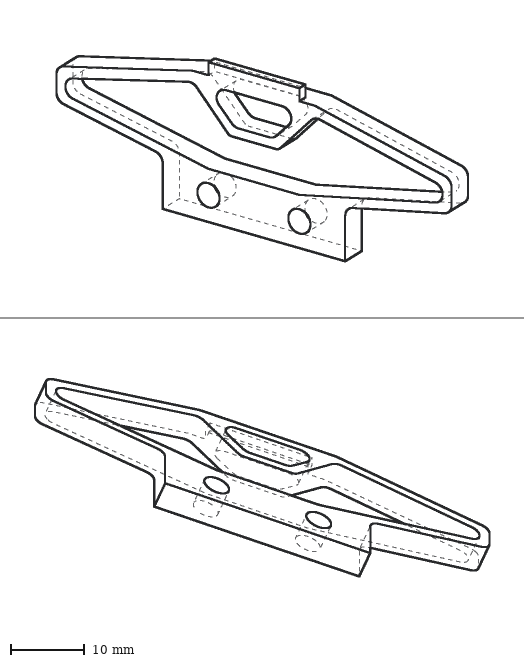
import cadquery as cq

length = 65.0
thickness = 4.0
total_height = 24.0
wall = 1.5
corner_radius = 1.5
half_length = length / 2

base_half_width = 15.0
arm_root_height = 8.05
end_bottom = 11.7
end_top = 16.85
crown_half_width = 10.0
crown_height = 22.05

tab_half_width = 7.5
tab_depth = 1.5

window_half_length = half_length - wall
window_floor_half_width = 7.5
window_floor = 8.0
window_end_bottom = 12.95
window_end_top = 15.4
brace_half_width = 4.0
brace_bottom = 13.85
brace_root_half_width = 10.0
brace_root_height = 20.35
brace_root_radius = 1.5
brace_corner_radius = 1.0

pocket_top_half_width = 8.1
pocket_bottom_half_width = 3.2
pocket_top = crown_height - wall
pocket_bottom = brace_bottom + wall
pocket_top_radius = 1.5
pocket_bottom_radius = 1.5

hole_diameter = 3.65
hole_offset = tab_half_width
hole_height = 4.0


def symmetric_prism(right_side, depth=thickness):
    """Mirror a right-hand outline about X = 0 and extrude it back from Y = 0."""
    left_side = [(-x, z) for x, z in reversed(right_side)]
    return cq.Workplane("XZ").polyline(right_side + left_side).close().extrude(-depth)


def round_corners(body, corner, radius):
    """Round the upright edges at a corner point and at its mirror image."""
    x, z = corner
    margin = 0.05
    for side_x in (x, -x):
        selector = cq.selectors.BoxSelector(
            (side_x - margin, -margin, z - margin),
            (side_x + margin, thickness + margin, z + margin),
        )
        body = body.edges("|Y").edges(selector).fillet(radius)
    return body


def make_frame():
    arm_root = (base_half_width, arm_root_height)
    lower_end = (half_length, end_bottom)
    upper_end = (half_length, end_top)
    crown = (crown_half_width, crown_height)
    frame = symmetric_prism([(base_half_width, 0), arm_root, lower_end, upper_end, crown])
    for corner in (arm_root, lower_end, upper_end, crown):
        frame = round_corners(frame, corner, corner_radius)
    return frame


def make_window():
    floor = (window_floor_half_width, window_floor)
    lower_end = (window_half_length, window_end_bottom)
    upper_end = (window_half_length, window_end_top)
    brace_root = (brace_root_half_width, brace_root_height)
    brace_corner = (brace_half_width, brace_bottom)
    window = symmetric_prism([floor, lower_end, upper_end, brace_root, brace_corner])
    for corner in (floor, lower_end, upper_end):
        window = round_corners(window, corner, corner_radius)
    window = round_corners(window, brace_root, brace_root_radius)
    return round_corners(window, brace_corner, brace_corner_radius)


def make_pocket():
    lower = (pocket_bottom_half_width, pocket_bottom)
    upper = (pocket_top_half_width, pocket_top)
    pocket = symmetric_prism([lower, upper])
    pocket = round_corners(pocket, lower, pocket_bottom_radius)
    return round_corners(pocket, upper, pocket_top_radius)


def make_tab():
    return symmetric_prism(
        [(tab_half_width, crown_height), (tab_half_width, total_height)], tab_depth
    )


def make_holes():
    centers = [(-hole_offset, hole_height), (hole_offset, hole_height)]
    return cq.Workplane("XZ").pushPoints(centers).circle(hole_diameter / 2).extrude(-thickness)


result = make_frame().cut(make_window()).cut(make_pocket()).cut(make_holes()).union(make_tab())